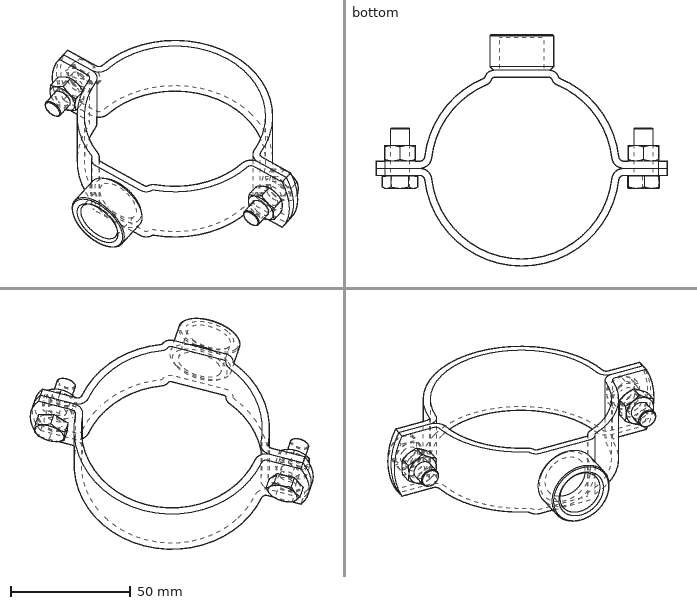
import cadquery as cq
import math

ring_outer_radius = 41.0
strap_thickness = 3.0
strap_width = 30.0
ear_reach = 61.0
ear_corner_reach = 57.3
ear_bend_radius = 2.0
pad_face = 41.1
pad_half_length = 11.6
pad_bend_radius = 1.0
ring_inner_radius = ring_outer_radius - strap_thickness

boss_radius = 13.4
boss_length = 14.9
boss_back_chamfer = 1.5
boss_front_chamfer = 0.5
bore_radius = 9.4
bore_chamfer = 1.1

bolt_offset = 51.0
shank_radius = 4.0
shank_tip_y = -16.8
shank_tip_chamfer = 0.4
hex_across_flats = 12.9
hex_chamfer_radius = 6.3
hex_chamfer_angle = 30.0
nut_height = 6.6
head_height = 5.2
collar_height = 0.18
collar_radius = 6.1
nut_turn = 30.0
left_head_turn = -1.2
right_head_turn = 33.5
hex_corner_radius = hex_across_flats / math.sqrt(3)


def polar(center, radius, angle):
    """Point at a radius and an angle in degrees around a centre."""
    turn = math.radians(angle)
    return (center[0] + radius * math.cos(turn), center[1] + radius * math.sin(turn))


def add_arc(outline, center, radius, start, end):
    """Continue an outline along a circular arc between two angles."""
    return outline.threePointArc(
        polar(center, radius, (start + end) / 2), polar(center, radius, end)
    )


ring_center = (0.0, 0.0)
ear_bend_distance = ring_outer_radius + ear_bend_radius
ear_bend_y = strap_thickness + ear_bend_radius
ear_bend_angle = math.degrees(math.asin(ear_bend_y / ear_bend_distance))
ear_bend_center = polar(ring_center, ear_bend_distance, ear_bend_angle)

pad_bend_center = (pad_half_length, pad_face - strap_thickness - pad_bend_radius)
pad_bend_distance = math.hypot(*pad_bend_center)
neck_bend_distance = ring_outer_radius + pad_bend_radius
bend_spacing = strap_thickness + 2 * pad_bend_radius
neck_spread = math.acos(
    (pad_bend_distance**2 + neck_bend_distance**2 - bend_spacing**2)
    / (2 * pad_bend_distance * neck_bend_distance)
)
neck_bend_angle = math.degrees(
    math.atan2(pad_bend_center[1], pad_bend_center[0]) - neck_spread
)
neck_bend_center = polar(ring_center, neck_bend_distance, neck_bend_angle)
bend_line_angle = math.degrees(
    math.atan2(
        neck_bend_center[1] - pad_bend_center[1],
        neck_bend_center[0] - pad_bend_center[0],
    )
)


def add_ear(outline):
    """Continue from the ring's outer face around the ear to the ring's inner face."""
    bend_start = ear_bend_angle + 180
    outline = add_arc(outline, ear_bend_center, ear_bend_radius, bend_start, 270)
    outline = outline.lineTo(ear_reach, strap_thickness)
    outline = outline.lineTo(ear_reach, 0)
    outline = outline.lineTo(ear_bend_center[0], 0)
    return add_arc(
        outline, ear_bend_center, ear_bend_radius + strap_thickness, 270, bend_start
    )


def plain_outline():
    """Quarter outline with the ring arc running to the crown."""
    outline = cq.Workplane("XY").moveTo(0, ring_outer_radius)
    outline = add_arc(outline, ring_center, ring_outer_radius, 90, ear_bend_angle)
    outline = add_ear(outline)
    outline = add_arc(outline, ring_center, ring_inner_radius, ear_bend_angle, 90)
    return outline.close()


def pad_outline():
    """Quarter outline with the ring arc bent out to a flat pad."""
    wide_radius = pad_bend_radius + strap_thickness
    neck_start = bend_line_angle + 180
    neck_end = neck_bend_angle + 180
    outline = cq.Workplane("XY").moveTo(0, pad_face)
    outline = outline.lineTo(pad_half_length, pad_face)
    outline = add_arc(outline, pad_bend_center, wide_radius, 90, bend_line_angle)
    outline = add_arc(outline, neck_bend_center, pad_bend_radius, neck_start, neck_end)
    outline = add_arc(outline, ring_center, ring_outer_radius, neck_bend_angle, ear_bend_angle)
    outline = add_ear(outline)
    outline = add_arc(outline, ring_center, ring_inner_radius, ear_bend_angle, neck_bend_angle)
    outline = add_arc(outline, neck_bend_center, wide_radius, neck_end, neck_start)
    outline = add_arc(outline, pad_bend_center, pad_bend_radius, bend_line_angle, 90)
    outline = outline.lineTo(0, pad_face - strap_thickness)
    return outline.close()


def make_half_strap(quarter_outline):
    """Half strap on the positive Y side, with rounded ear ends and bolt holes."""
    quarter = quarter_outline.extrude(strap_width / 2, both=True)
    strap = quarter.union(quarter.mirror("YZ"))
    half_width = strap_width / 2
    rounded_ends = (
        cq.Workplane("XZ")
        .moveTo(-ear_corner_reach, half_width)
        .lineTo(ear_corner_reach, half_width)
        .threePointArc((ear_reach, 0), (ear_corner_reach, -half_width))
        .lineTo(-ear_corner_reach, -half_width)
        .threePointArc((-ear_reach, 0), (-ear_corner_reach, half_width))
        .close()
        .extrude(pad_face, both=True)
    )
    bolt_holes = (
        cq.Workplane("XZ")
        .pushPoints([(-bolt_offset, 0), (bolt_offset, 0)])
        .circle(shank_radius)
        .extrude(-strap_thickness)
    )
    return strap.intersect(rounded_ends).cut(bolt_holes)


def make_boss():
    """Round boss standing on the outer face of the pad, bored down to the pad."""
    boss = (
        cq.Workplane("XZ", origin=(0, -pad_face, 0))
        .circle(boss_radius)
        .extrude(boss_length)
    )
    boss = boss.faces(">Y").chamfer(boss_back_chamfer)
    boss = boss.faces("<Y").chamfer(boss_front_chamfer)
    boss = boss.faces("<Y").workplane().hole(2 * bore_radius)
    return boss.faces("<Y").edges("%CIRCLE").edges(
        cq.selectors.RadiusNthSelector(0)
    ).chamfer(bore_chamfer)


def make_hexagon(height, both_ends):
    """Hexagon rising along Z from the origin, its corners chamfered at one or both ends."""
    slope = math.tan(math.radians(hex_chamfer_angle))
    drop = (hex_corner_radius - hex_chamfer_radius) * slope
    envelope = cq.Workplane("XZ").moveTo(0, 0)
    if both_ends:
        envelope = envelope.lineTo(hex_chamfer_radius, 0).lineTo(hex_corner_radius, drop)
    else:
        envelope = envelope.lineTo(hex_corner_radius, 0)
    envelope = (
        envelope.lineTo(hex_corner_radius, height - drop)
        .lineTo(hex_chamfer_radius, height)
        .lineTo(0, height)
        .close()
        .revolve(360, (0, 0), (0, 1))
    )
    prism = cq.Workplane("XY").polygon(6, 2 * hex_corner_radius).extrude(height)
    return prism.intersect(envelope)


def make_bolt(x, head_turn):
    """Bolt along Y with its head bearing on the positive Y ear."""
    head = (
        make_hexagon(head_height, both_ends=False)
        .rotate((0, 0, 0), (1, 0, 0), -90)
        .rotate((0, 0, 0), (0, 1, 0), -head_turn)
        .translate((x, strap_thickness + collar_height, 0))
    )
    collar = (
        cq.Workplane("XZ", origin=(x, strap_thickness, 0))
        .circle(collar_radius)
        .extrude(-collar_height)
    )
    shank = (
        cq.Workplane("XZ", origin=(x, strap_thickness, 0))
        .circle(shank_radius)
        .extrude(strap_thickness - shank_tip_y)
        .faces("<Y")
        .chamfer(shank_tip_chamfer)
    )
    return head.union(collar).union(shank)


def make_nut(x):
    """Nut bearing on the negative Y ear, bored to the bolt shank."""
    nut = make_hexagon(nut_height, both_ends=True)
    nut = nut.faces(">Z").workplane().hole(2 * shank_radius)
    return (
        nut.rotate((0, 0, 0), (0, 0, 1), nut_turn)
        .rotate((0, 0, 0), (1, 0, 0), 90)
        .translate((x, -strap_thickness, 0))
    )


back_strap = make_half_strap(plain_outline())
front_strap = make_half_strap(pad_outline()).mirror("XZ")
boss = make_boss()

fasteners = []
for x, head_turn in ((-bolt_offset, left_head_turn), (bolt_offset, right_head_turn)):
    fasteners.append(make_bolt(x, head_turn).val())
    fasteners.append(make_nut(x).val())

result = cq.Compound.makeCompound(
    [back_strap.val(), front_strap.val(), boss.val(), *fasteners]
)